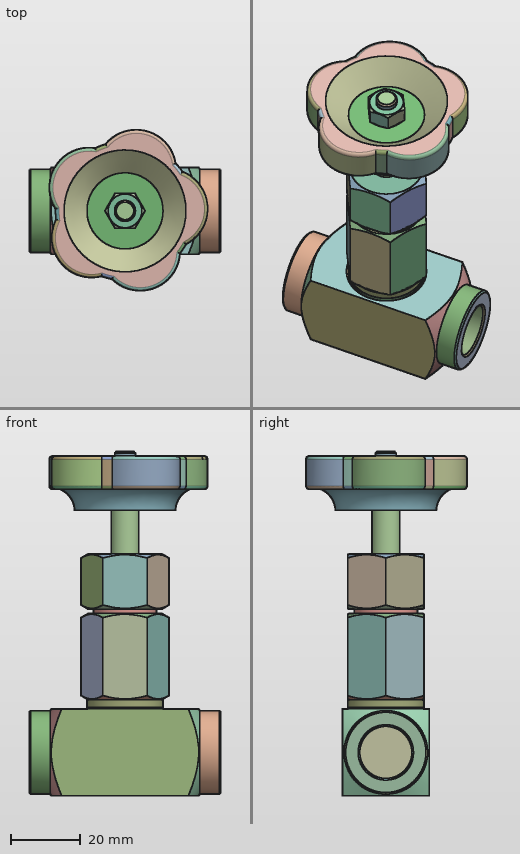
import cadquery as cq
import math

block_length = 42.9
block_side = 25.0
port_span = 55.0
port_diameter = 24.0
port_chamfer = 0.5
bore_diameter = 14.9
bore_depth = 15.0
bore_chamfer = 0.5
cone_angle = 30

hex_flats = 21.9
hex_end_diameter = 21.0
neck_diameter = 21.9
neck_step_height = 25.5
socket_neck_diameter = 21.8
socket_rim_diameter = 23.0
countersink_angle = 45
socket_depth = (socket_rim_diameter - socket_neck_diameter) / 2 / math.tan(math.radians(countersink_angle))
lower_hex_bottom = 27.6
lower_hex_top = 52.4
collar_diameter = 18.2
upper_hex_bottom = 53.55
upper_hex_top = 69.5

stem_diameter = 8.0
stud_diameter = 6.0
stud_chamfer = 0.5
total_height = 98.8
nut_flats = 10.0
nut_end_diameter = 9.7
nut_top = 97.0

wheel_bottom = 81.9
rim_bottom = 87.9
rim_top = 97.5
disc_radius = 20.0
lobe_count = 5
lobe_radius = 11.5
lobe_start_angle = 2.8
wheel_width = 46.2
lobe_centre_width = 2 * math.sin(2 * math.pi / lobe_count) * math.cos(math.radians(lobe_start_angle))
lobe_offset = (wheel_width - 2 * lobe_radius) / lobe_centre_width
rim_fillet = 1.0
hub_radius = 14.5
flare_mid = (15.5, 85.3)
flare_radius = 18.6
bowl_top_radius = 17.5
bowl_floor_diameter = 21.8
bowl_floor = 91.7


def cylinder(diameter, bottom, top):
    """Upright cylinder on the Z axis."""
    return cq.Workplane("XY").workplane(offset=bottom).circle(diameter / 2).extrude(top - bottom)


def cone_ended(length, end_radius, corner_radius):
    """Round envelope along Z, centred on the origin, whose ends are chamfered as cones."""
    drop = (corner_radius - end_radius) * math.tan(math.radians(cone_angle))
    half = length / 2
    return (
        cq.Workplane("XZ")
        .moveTo(0, -half)
        .lineTo(end_radius, -half)
        .lineTo(corner_radius, -half + drop)
        .lineTo(corner_radius, half - drop)
        .lineTo(end_radius, half)
        .lineTo(0, half)
        .close()
        .revolve(360, (0, 0, 0), (0, 1, 0))
    )


def hexagon(flats, end_diameter, bottom, top):
    """Upright hexagon with corners on the X axis and both ends chamfered."""
    corners = flats / math.cos(math.pi / 6)
    height = top - bottom
    prism = cq.Workplane("XY").polygon(6, corners).extrude(height / 2, both=True)
    envelope = cone_ended(height, end_diameter / 2, corners / 2)
    return prism.intersect(envelope).translate((0, 0, (bottom + top) / 2))


def valve_body():
    """Block with chamfered ends, two ports with blind bores, and a countersink for the neck."""
    corner_radius = block_side / math.sqrt(2)
    block = cq.Workplane("XY").box(block_side, block_side, block_length)
    block = block.intersect(cone_ended(block_length, port_diameter / 2, corner_radius))
    ports = cq.Workplane("XY").circle(port_diameter / 2).extrude(port_span / 2, both=True)
    body = block.union(ports.faces("<Z or >Z").chamfer(port_chamfer))
    for end in ("<Z", ">Z"):
        body = body.faces(end).workplane(centerOption="CenterOfMass").hole(bore_diameter, bore_depth)
        body = body.faces(end).edges(cq.selectors.RadiusNthSelector(0)).chamfer(bore_chamfer)
    body = body.rotate((0, 0, 0), (0, 1, 0), 90).translate((0, 0, block_side / 2))
    countersink = (
        cq.Workplane("XY")
        .workplane(offset=block_side)
        .circle(socket_rim_diameter / 2)
        .extrude(-socket_depth, taper=countersink_angle)
    )
    return body.cut(countersink)


def bonnet():
    """Necks and the two hexagons above the block."""
    neck = cylinder(neck_diameter, neck_step_height, lower_hex_bottom)
    socket_neck = cylinder(socket_neck_diameter, block_side - socket_depth, neck_step_height)
    lower_hex = hexagon(hex_flats, hex_end_diameter, lower_hex_bottom, lower_hex_top)
    collar = cylinder(collar_diameter, lower_hex_top, upper_hex_bottom)
    upper_hex = hexagon(hex_flats, hex_end_diameter, upper_hex_bottom, upper_hex_top)
    return neck.union(socket_neck).union(lower_hex).union(collar).union(upper_hex)


def rounded_disc(radius):
    """Disc on the Z axis, as thick as the rim, with both edges rounded."""
    return cylinder(2 * radius, rim_bottom, rim_top).faces("<Z or >Z").fillet(rim_fillet)


def handwheel():
    """Lobed rim with rounded edges, flared hub and conical bowl."""
    rim = rounded_disc(disc_radius)
    lobe = rounded_disc(lobe_radius).translate((lobe_offset, 0, 0))
    for index in range(lobe_count):
        angle = lobe_start_angle + index * 360 / lobe_count
        rim = rim.union(lobe.rotate((0, 0, 0), (0, 0, 1), angle))
    hub = (
        cq.Workplane("XZ")
        .moveTo(0, wheel_bottom)
        .lineTo(hub_radius, wheel_bottom)
        .threePointArc(flare_mid, (flare_radius, rim_bottom))
        .lineTo(0, rim_bottom)
        .close()
        .revolve(360, (0, 0, 0), (0, 1, 0))
    )
    bowl = (
        cq.Workplane("XZ")
        .moveTo(0, bowl_floor)
        .lineTo(bowl_floor_diameter / 2, bowl_floor)
        .lineTo(bowl_top_radius, rim_top)
        .lineTo(0, rim_top)
        .close()
        .revolve(360, (0, 0, 0), (0, 1, 0))
    )
    return rim.union(hub).cut(bowl)


stem = cylinder(stem_diameter, upper_hex_top, wheel_bottom)
stud = cylinder(stud_diameter, bowl_floor, total_height).faces(">Z").chamfer(stud_chamfer)
nut = hexagon(nut_flats, nut_end_diameter, bowl_floor, nut_top)

result = valve_body().union(bonnet()).union(stem).union(handwheel()).union(nut).union(stud)